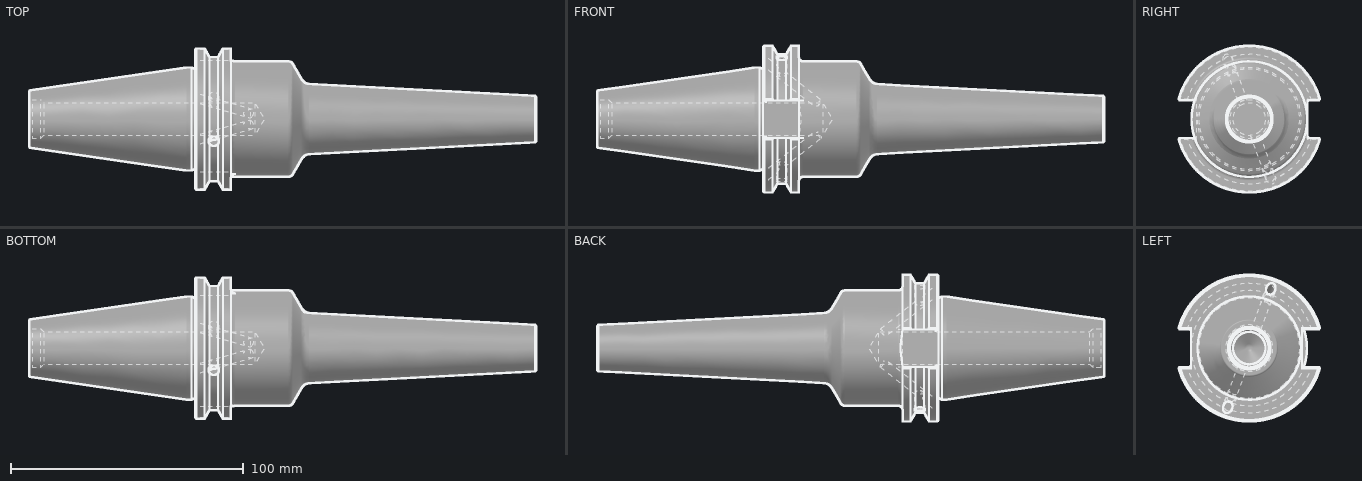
import cadquery as cq
import math

total_length = 218.2

gauge_x = 67.9
gauge_radius = 22.3
taper_half_ratio = 7 / 24 / 2
tail_radius = gauge_radius - gauge_x * taper_half_ratio
tail_fillet = 0.9
neck_chamfer_x = 69.8
neck_root_radius = 21.5

flange_front_x = 71.4
flange_rear_x = 86.9
flange_radius = 31.6
groove_center_x = 79.5
groove_floor_width = 3.7
groove_floor_radius = 28.0
groove_wall_angle = 30.0
flange_edge_chamfer = 0.7
flange_fillet = 1.7

slot_half_width = 8.0
slot_floor_plus_y = 25.0
slot_floor_minus_y = 22.7
slot_floor_fillet = 0.7

body_radius = 24.9
shoulder_x = 112.8
shoulder_angle = 60.0
shoulder_fillet = 2.2
nose_fillet = 4.0
nose_tip_radius = 10.0
nose_taper_angle = 3.0
nose_chamfer = 0.7

bore_mouth_radius = 9.2
mouth_half_angle = 30.0
counterbore_radius = 8.3
counterbore_depth = 5.0
step_half_angle = 45.0
bore_radius = 7.0
bore_depth = 97.1
drill_half_angle = 59.0

coolant_angle = 20.0
coolant_incline = 40.0
coolant_radius = 2.0
coolant_face_radius = 27.0
coolant_overrun = 2.2
groove_passage_radius = 2.2

pick_tolerance = 0.02


def revolve_about_x(profile):
    return profile.close().revolve(360, (0, 0, 0), (1, 0, 0))


def is_near(value, target):
    return abs(value - target) < pick_tolerance


def make_shank():
    """Taper, neck, and the core that runs through the flange."""
    shank = revolve_about_x(
        cq.Workplane("XY")
        .moveTo(0, 0)
        .lineTo(0, tail_radius)
        .lineTo(gauge_x, gauge_radius)
        .lineTo(neck_chamfer_x, gauge_radius)
        .lineTo(flange_front_x, neck_root_radius)
        .lineTo(flange_rear_x, neck_root_radius)
        .lineTo(flange_rear_x, 0)
    )
    return shank.faces("<X").edges().fillet(tail_fillet)


def make_body():
    """Body behind the flange, shoulder cone and tapered nose, with their blends."""
    shoulder_slope = math.tan(math.radians(shoulder_angle))
    nose_slope = math.tan(math.radians(nose_taper_angle))
    nose_radius_at_shoulder = nose_tip_radius + (total_length - shoulder_x) * nose_slope
    cone_length = (body_radius - nose_radius_at_shoulder) / (shoulder_slope - nose_slope)
    nose_root_x = shoulder_x + cone_length
    nose_root_radius = body_radius - cone_length * shoulder_slope
    body = revolve_about_x(
        cq.Workplane("XY")
        .moveTo(flange_rear_x, 0)
        .lineTo(flange_rear_x, body_radius)
        .lineTo(shoulder_x, body_radius)
        .lineTo(nose_root_x, nose_root_radius)
        .lineTo(total_length, nose_tip_radius)
        .lineTo(total_length, 0)
    )

    def circle_at(x):
        return cq.selectors.BoxSelector(
            (x - pick_tolerance, -flange_radius, -flange_radius),
            (x + pick_tolerance, flange_radius, flange_radius),
            boundingbox=True,
        )

    body = body.edges(circle_at(shoulder_x)).fillet(shoulder_fillet)
    body = body.edges(circle_at(nose_root_x)).fillet(nose_fillet)
    return body.faces(">X").edges().chamfer(nose_chamfer)


def make_flange():
    """Slotted V-groove flange with its rear blend onto the body."""
    floor_half = groove_floor_width / 2
    wall_run = (flange_radius - groove_floor_radius) * math.tan(math.radians(groove_wall_angle))
    mouth_half = floor_half + wall_run
    blend_mid_offset = flange_fillet * (1 - math.sqrt(0.5))
    flange = revolve_about_x(
        cq.Workplane("XY")
        .moveTo(flange_front_x, 0)
        .lineTo(flange_front_x, flange_radius)
        .lineTo(groove_center_x - mouth_half, flange_radius)
        .lineTo(groove_center_x - floor_half, groove_floor_radius)
        .lineTo(groove_center_x + floor_half, groove_floor_radius)
        .lineTo(groove_center_x + mouth_half, flange_radius)
        .lineTo(flange_rear_x, flange_radius)
        .lineTo(flange_rear_x, body_radius + flange_fillet)
        .threePointArc(
            (flange_rear_x + blend_mid_offset, body_radius + blend_mid_offset),
            (flange_rear_x + flange_fillet, body_radius),
        )
        .lineTo(flange_rear_x + flange_fillet, 0)
    )
    flange = flange.cut(make_slot(slot_floor_plus_y, 1)).cut(make_slot(slot_floor_minus_y, -1))
    return fillet_slot_floors(chamfer_flange(flange))


def make_slot(floor_distance, side):
    """Cutter for one drive slot; side is the sign of Y it opens to."""
    slot_length = flange_rear_x + flange_fillet - flange_front_x
    slot_height = flange_radius
    return (
        cq.Workplane("XY")
        .box(slot_length, slot_height, 2 * slot_half_width, centered=(False, True, True))
        .translate((flange_front_x, side * (floor_distance + slot_height / 2), 0))
    )


def chamfer_flange(flange):
    """Break the front rim and the slot walls where they meet the face and the lands."""
    land_edge_y = math.sqrt(flange_radius**2 - slot_half_width**2)

    def is_broken_edge(edge):
        center = edge.Center()
        box = edge.BoundingBox()
        on_front = is_near(box.xmax, flange_front_x)
        on_wall = is_near(box.zmax, box.zmin) and is_near(abs(center.z), slot_half_width)
        on_land = on_wall and is_near(abs(center.y), land_edge_y)
        on_rim = edge.geomType() == "CIRCLE" and edge.radius() > groove_floor_radius
        return (on_front and (on_wall or on_rim)) or on_land

    edges = [edge for edge in flange.edges().vals() if is_broken_edge(edge)]
    return flange.newObject(edges).chamfer(flange_edge_chamfer)


def fillet_slot_floors(flange):
    """Round the corners between the slot walls and the slot floors."""

    def is_floor_corner(edge):
        center = edge.Center()
        at_wall = is_near(abs(center.z), slot_half_width)
        at_floor = is_near(center.y, slot_floor_plus_y) or is_near(center.y, -slot_floor_minus_y)
        return at_wall and at_floor

    corners = [edge for edge in flange.edges("|X").vals() if is_floor_corner(edge)]
    return flange.newObject(corners).fillet(slot_floor_fillet)


def make_bore():
    drill_point_length = bore_radius / math.tan(math.radians(drill_half_angle))
    mouth_run = (bore_mouth_radius - counterbore_radius) / math.tan(math.radians(mouth_half_angle))
    step_run = (counterbore_radius - bore_radius) / math.tan(math.radians(step_half_angle))
    return revolve_about_x(
        cq.Workplane("XY")
        .moveTo(0, 0)
        .lineTo(0, bore_mouth_radius)
        .lineTo(mouth_run, counterbore_radius)
        .lineTo(counterbore_depth, counterbore_radius)
        .lineTo(counterbore_depth + step_run, bore_radius)
        .lineTo(bore_depth, bore_radius)
        .lineTo(bore_depth + drill_point_length, 0)
    )


def make_coolant_passages():
    """Two opposite pairs of an inclined face passage and a radial groove passage."""
    incline = math.radians(coolant_incline)
    inclined_length = (coolant_face_radius - bore_radius) / math.sin(incline)
    meeting_radius = coolant_face_radius - (groove_center_x - flange_front_x) * math.tan(incline)
    inward = cq.Vector(math.cos(incline), 0, -math.sin(incline))
    start = cq.Vector(flange_front_x, 0, coolant_face_radius) - inward * coolant_overrun
    inclined = cq.Solid.makeCylinder(coolant_radius, coolant_overrun + inclined_length, start, inward)
    radial = cq.Solid.makeCylinder(
        groove_passage_radius,
        flange_radius - meeting_radius,
        cq.Vector(groove_center_x, 0, meeting_radius),
        cq.Vector(0, 0, 1),
    )
    pair = cq.Workplane(inclined).union(cq.Workplane(radial))
    pair = pair.rotate((0, 0, 0), (1, 0, 0), coolant_angle)
    return pair.union(pair.rotate((0, 0, 0), (1, 0, 0), 180))


result = (
    make_shank()
    .union(make_flange())
    .union(make_body())
    .cut(make_bore())
    .cut(make_coolant_passages())
)